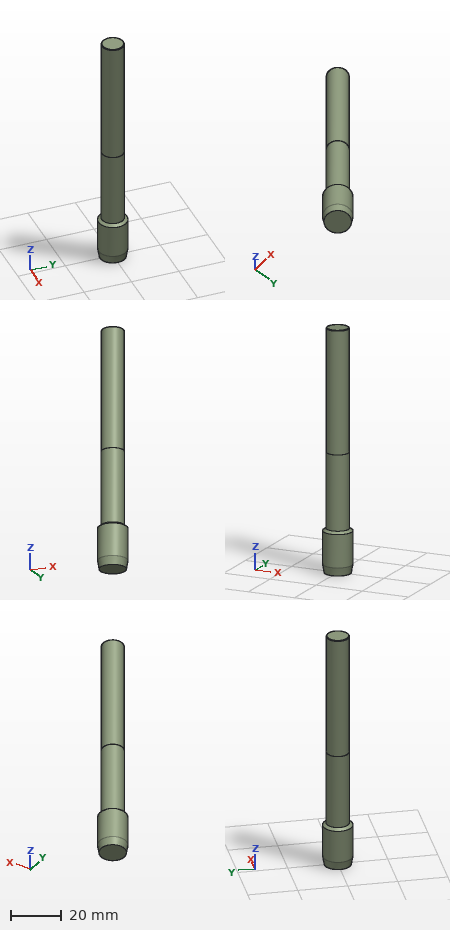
import cadquery as cq

total_length = 100.0

head_radius = 6.0
head_length = 18.1
lead_length = 3.5
lead_tip_radius = 5.4
shoulder_height = 1.0

neck_diameter = 9.3
neck_radius = neck_diameter / 2
neck_top = 49.2

shank_diameter = 9.1
shank_radius = shank_diameter / 2
shank_chamfer = 0.3


def revolve_profile(points):
    """Revolve a closed (radius, height) outline about the Z axis."""
    return cq.Workplane("XZ").polyline(points).close().revolve(360, (0, 0), (0, 1))


def make_tool_end():
    """Head with its lead and shoulder bevel, running up into the neck."""
    return revolve_profile([
        (0, 0),
        (lead_tip_radius, 0),
        (head_radius, lead_length),
        (head_radius, head_length - shoulder_height),
        (neck_radius, head_length),
        (neck_radius, neck_top),
        (0, neck_top),
    ])


def make_shank():
    """Plain rod from the neck to the free end, where it is chamfered."""
    return (
        cq.Workplane("XY", origin=(0, 0, neck_top))
        .circle(shank_radius)
        .extrude(total_length - neck_top)
        .faces(">Z")
        .edges()
        .chamfer(shank_chamfer)
    )


tool_end = make_tool_end()
shank = make_shank()

result = cq.Compound.makeCompound([tool_end.val(), shank.val()])